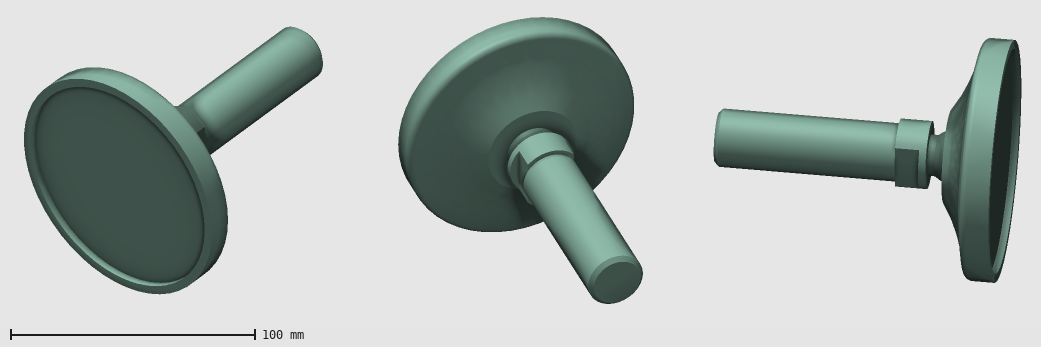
import cadquery as cq
import math


pad_radius = 100.0 / 2
pad_height = 23.5
pad_top_radius = 19.5
rim_height = 9.35
flank_radius = 66.0
rim_round_radius = 3.0
recess_radius = 92.5 / 2
recess_depth = 3.0

total_length = 119.0
stud_radius = 24.0 / 2
stud_length = 75.0
stud_chamfer = 1.8
collar_radius = 28.0 / 2
collar_length = 13.0
neck_radius = 17.0 / 2
neck_length = 3.0
ball_radius = 23.0 / 2

flats_width = 20.0
flats_length = 10.0

collar_top = total_length - stud_length
collar_bottom = collar_top - collar_length
neck_bottom = collar_bottom - neck_length
ball_center = neck_bottom - math.sqrt(ball_radius**2 - neck_radius**2)
ball_base_radius = math.sqrt(ball_radius**2 - (pad_height - ball_center) ** 2)


def arc_midpoint(start, end, radius, bulge):
    """Middle of an arc; bulge is +1 to bow left of the direction of travel, -1 to bow right."""
    dx = end[0] - start[0]
    dy = end[1] - start[1]
    chord = math.hypot(dx, dy)
    sag = bulge * (radius - math.sqrt(radius**2 - (chord / 2) ** 2))
    mid_x = (start[0] + end[0]) / 2 - sag * dy / chord
    mid_y = (start[1] + end[1]) / 2 + sag * dx / chord
    return (mid_x, mid_y)


def rim_round_end(flank_top):
    """Point where the convex round of the rim passes smoothly into the concave flank."""
    round_center = (pad_radius - rim_round_radius, rim_height)
    center_distance = flank_radius + rim_round_radius
    dx = flank_top[0] - round_center[0]
    dy = flank_top[1] - round_center[1]
    reach = math.hypot(dx, dy)
    cosine = (center_distance**2 + reach**2 - flank_radius**2) / (2 * center_distance * reach)
    direction = math.atan2(dy, dx) - math.acos(cosine)
    end_x = round_center[0] + rim_round_radius * math.cos(direction)
    end_y = round_center[1] + rim_round_radius * math.sin(direction)
    return (end_x, end_y)


def make_turned_body():
    """Pad, ball, neck, collar and stud as one revolved outline."""
    rim_top = (pad_radius, rim_height)
    flank_top = (pad_top_radius, pad_height)
    flank_foot = rim_round_end(flank_top)
    ball_base = (ball_base_radius, pad_height)
    ball_top = (neck_radius, neck_bottom)
    return (
        cq.Workplane("XY")
        .lineTo(pad_radius, 0)
        .lineTo(*rim_top)
        .threePointArc(arc_midpoint(rim_top, flank_foot, rim_round_radius, -1), flank_foot)
        .threePointArc(arc_midpoint(flank_foot, flank_top, flank_radius, 1), flank_top)
        .lineTo(*ball_base)
        .threePointArc(arc_midpoint(ball_base, ball_top, ball_radius, -1), ball_top)
        .lineTo(neck_radius, collar_bottom)
        .lineTo(collar_radius, collar_bottom)
        .lineTo(collar_radius, collar_top)
        .lineTo(stud_radius, collar_top)
        .lineTo(stud_radius, total_length - stud_chamfer)
        .lineTo(stud_radius - stud_chamfer, total_length)
        .lineTo(0, total_length)
        .close()
        .revolve(360, (0, 0, 0), (0, 1, 0))
    )


def cut_recess(body):
    """Shallow round recess in the underside of the pad."""
    recess = cq.Workplane("XZ").circle(recess_radius).extrude(-recess_depth)
    return body.cut(recess)


def cut_flats(body):
    """Two parallel wrench flats on the collar, facing -X and +X."""
    flats_bottom = collar_top - flats_length
    cutter_width = collar_radius
    cutter = cq.Workplane("XY").box(
        cutter_width, flats_length, 2 * collar_radius, centered=(True, False, True)
    )
    for side in (-1, 1):
        center_x = side * (flats_width + cutter_width) / 2
        body = body.cut(cutter.translate((center_x, flats_bottom, 0)))
    return body


result = cut_flats(cut_recess(make_turned_body()))